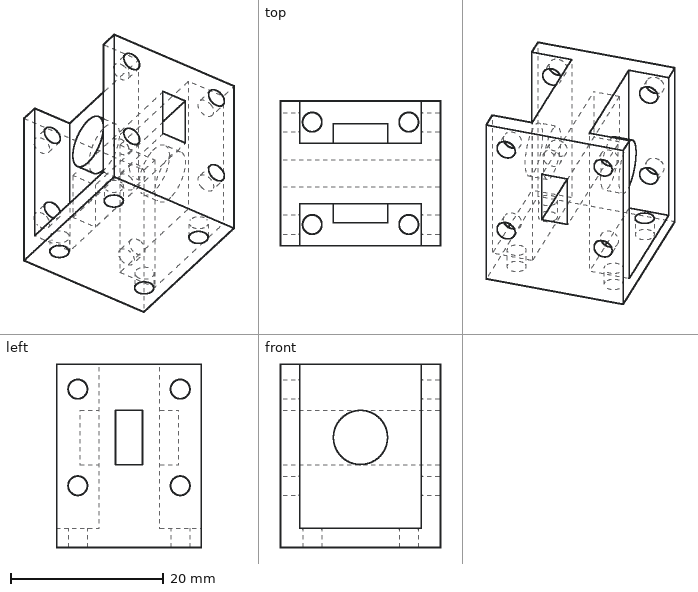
import cadquery as cq

width = 21.1
depth = 19.05
height = 24.13

wall = 2.53
web_thickness = 7.95

guide_center_z = 14.48
guide_width = 3.55
guide_height = 7.12

boss_diameter = guide_height
boss_length = 2.53

hole_diameter = 2.5
hole_pitch_long = 13.46
hole_pitch_short = 12.7

pocket_depth = (depth - web_thickness) / 2


def make_body():
    """Block with an open-topped pocket on each Y side, leaving an H-shaped plan."""
    body = cq.Workplane("XY").box(width, depth, height, centered=(True, True, False))
    pocket_center_y = (web_thickness + pocket_depth) / 2
    pockets = (
        cq.Workplane("XY", origin=(0, 0, wall))
        .pushPoints([(0, -pocket_center_y), (0, pocket_center_y)])
        .rect(width - 2 * wall, pocket_depth)
        .extrude(height - wall)
    )
    return body.cut(pockets)


def make_bosses():
    """One cylinder through the web that stands out equally on both faces."""
    return (
        cq.Workplane("XZ", origin=(0, 0, guide_center_z))
        .circle(boss_diameter / 2)
        .extrude(web_thickness / 2 + boss_length, both=True)
    )


def make_guide_opening():
    return (
        cq.Workplane("YZ", origin=(0, 0, guide_center_z))
        .rect(guide_width, guide_height)
        .extrude(width / 2, both=True)
    )


def make_flange_holes():
    """Four holes around the opening, passing through both flanges."""
    return (
        cq.Workplane("YZ", origin=(0, 0, guide_center_z))
        .rarray(hole_pitch_long, hole_pitch_short, 2, 2)
        .circle(hole_diameter / 2)
        .extrude(width / 2, both=True)
    )


def make_floor_holes():
    return (
        cq.Workplane("XY")
        .rarray(hole_pitch_short, hole_pitch_long, 2, 2)
        .circle(hole_diameter / 2)
        .extrude(wall)
    )


result = (
    make_body()
    .union(make_bosses())
    .cut(make_guide_opening())
    .cut(make_flange_holes())
    .cut(make_floor_holes())
)